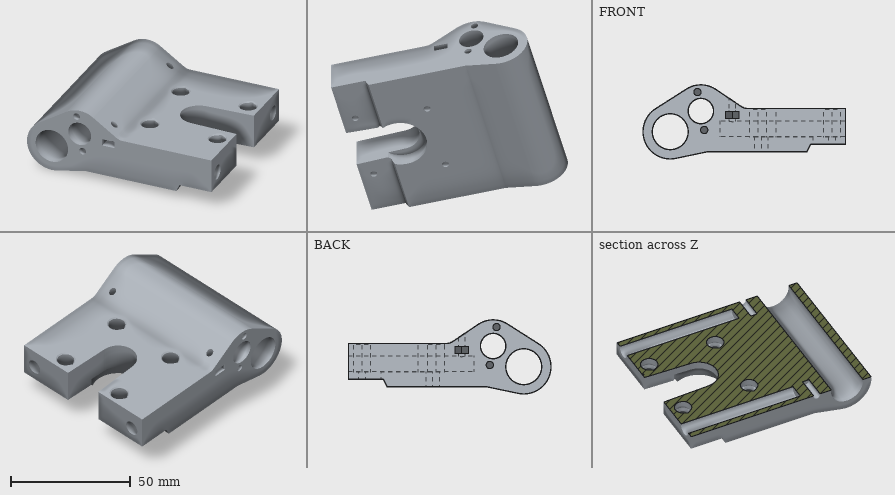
import cadquery as cq
import math

length = 84.6
width = 68.0
height = 31.05

large_barrel_radius = 11.4
large_bore_radius = 7.45
large_x = large_barrel_radius
large_z = large_barrel_radius
small_barrel_radius = 11.0
small_bore_radius = 5.25
small_x = 24.2
small_z = height - small_barrel_radius

deck_z = 21.15
belly_z = 3.0
belly_start_x = 26.7
ramp_foot_x = 42.3
ramp_fillet = 5.0
step_z = 6.1
step_start_x = 68.45
step_end_x = 70.0

pattern_x = 63.5
screw_pitch = 31.0
screw_radius = 1.4
head_radius = 3.55
head_chamfer = 0.5
head_seat_z = 9.3
teardrop_angle = math.radians(30)

slot_radius = 7.95
slot_mouth = 17.4

boss_radius = 11.2
boss_top_z = 9.2

end_screw_radius = 1.5
end_screw_circle_radius = 8.0
end_screw_tilt = math.radians(10)
end_screw_depth = 10.15

rod_radius = 3.2
rod_z = 12.7
rod_end_x = 32.15
clamp_x = 37.3
clamp_y = 28.0
clamp_radius = 1.4
nut_width = 5.7
nut_bottom_z = 16.9
nut_height = 3.0


def point_at(center, radius, angle):
    """Point on a circle at an angle from its first axis."""
    return (center[0] + radius * math.cos(angle), center[1] + radius * math.sin(angle))


def tangent_angle(center, radius, point, side):
    """Angle of the tangent point on a circle for a line through an outside point; side is +1 or -1."""
    dx = point[0] - center[0]
    dz = point[1] - center[1]
    return math.atan2(dz, dx) + side * math.acos(radius / math.hypot(dx, dz))


def along_y(depth):
    """Workplane whose local axes are X and Z, starting on the -Y end face at the given depth."""
    return cq.Workplane("XZ", origin=(0, depth - width / 2, 0))


def body():
    large = (large_x, large_z)
    small = (small_x, small_z)
    ramp_foot = (ramp_foot_x, deck_z)
    belly_start = (belly_start_x, belly_z)

    dx = small_x - large_x
    dz = small_z - large_z
    radius_change = large_barrel_radius - small_barrel_radius
    nose_angle = math.atan2(dz, dx) + math.acos(radius_change / math.hypot(dx, dz))
    ramp_angle = tangent_angle(small, small_barrel_radius, ramp_foot, 1)
    belly_angle = tangent_angle(large, large_barrel_radius, belly_start, -1)

    profile = (
        along_y(width)
        .moveTo(*belly_start)
        .lineTo(step_start_x, belly_z)
        .lineTo(step_end_x, step_z)
        .lineTo(length, step_z)
        .lineTo(length, deck_z)
        .lineTo(*ramp_foot)
        .lineTo(*point_at(small, small_barrel_radius, ramp_angle))
        .threePointArc(
            point_at(small, small_barrel_radius, (ramp_angle + nose_angle) / 2),
            point_at(small, small_barrel_radius, nose_angle),
        )
        .lineTo(*point_at(large, large_barrel_radius, nose_angle))
        .threePointArc(
            point_at(large, large_barrel_radius, math.pi),
            point_at(large, large_barrel_radius, belly_angle),
        )
        .close()
    )
    ramp_edge = cq.selectors.NearestToPointSelector((ramp_foot_x, 0, deck_z))
    return profile.extrude(width).edges(ramp_edge).fillet(ramp_fillet)


def bore(x, z, radius):
    return along_y(width).center(x, z).circle(radius).extrude(width)


def slot():
    flank = tangent_angle((pattern_x, 0), slot_radius, (length, slot_mouth / 2), 1)
    tangent_x, tangent_y = point_at((pattern_x, 0), slot_radius, flank)
    return (
        cq.Workplane("XY")
        .moveTo(length, -slot_mouth / 2)
        .lineTo(length, slot_mouth / 2)
        .lineTo(tangent_x, tangent_y)
        .threePointArc((pattern_x - slot_radius, 0), (tangent_x, -tangent_y))
        .close()
        .extrude(deck_z)
    )


def boss_recess():
    return cq.Workplane("XY", origin=(pattern_x, 0, 0)).circle(boss_radius).extrude(boss_top_z)


def teardrop(plane, radius):
    """Circle with a pointed peak toward +Y."""
    flank_x = radius * math.sin(teardrop_angle)
    flank_y = radius * math.cos(teardrop_angle)
    return (
        plane.moveTo(flank_x, flank_y)
        .lineTo(0, radius / math.cos(teardrop_angle))
        .lineTo(-flank_x, flank_y)
        .threePointArc((0, -radius), (flank_x, flank_y))
        .close()
    )


def motor_screw(x, y):
    hole = cq.Workplane("XY", origin=(x, y, 0)).circle(screw_radius).extrude(deck_z)
    seat = cq.Workplane("XY", origin=(x, y, head_seat_z))
    head = teardrop(seat, head_radius).extrude(deck_z - head_seat_z)
    rim_plane = cq.Workplane("XY", origin=(x, y, deck_z))
    rim = teardrop(rim_plane, head_radius + head_chamfer).extrude(-head_chamfer, taper=45)
    return hole.union(head).union(rim)


def end_screw(direction):
    """Blind hole in the -Y end face, above (+1) or below (-1) the small bore."""
    angle = end_screw_tilt + direction * math.pi / 2
    x, z = point_at((small_x, small_z), end_screw_circle_radius, angle)
    return along_y(end_screw_depth).center(x, z).circle(end_screw_radius).extrude(end_screw_depth)


def rod_socket(y):
    """Blind round socket along X, open at the fork end."""
    start = cq.Workplane("YZ", origin=(rod_end_x, y, rod_z))
    return start.circle(rod_radius).extrude(length - rod_end_x)


def rod_clamp():
    """Rod socket near the -Y end, with its clamp screw hole from above and the nut pocket."""
    shaft = (
        cq.Workplane("XY", origin=(clamp_x, -clamp_y, rod_z))
        .circle(clamp_radius)
        .extrude(height - rod_z)
    )
    half = nut_width / 2
    corner = half / math.cos(math.pi / 6)
    pocket = (
        cq.Workplane("XY", origin=(clamp_x, -clamp_y, nut_bottom_z))
        .moveTo(-half, clamp_y - width / 2)
        .lineTo(half, clamp_y - width / 2)
        .lineTo(half, corner / 2)
        .lineTo(0, corner)
        .lineTo(-half, corner / 2)
        .close()
        .extrude(nut_height)
    )
    return shaft.union(rod_socket(-clamp_y)).union(pocket)


result = body()
result = result.cut(bore(large_x, large_z, large_bore_radius))
result = result.cut(bore(small_x, small_z, small_bore_radius))
result = result.cut(slot())
result = result.cut(boss_recess())

for x_side in (-1, 1):
    for y_side in (-1, 1):
        screw_x = pattern_x + x_side * screw_pitch / 2
        screw_y = y_side * screw_pitch / 2
        result = result.cut(motor_screw(screw_x, screw_y))

for feature in (end_screw(1), end_screw(-1), rod_clamp()):
    result = result.cut(feature)
    result = result.cut(feature.mirror("XZ"))